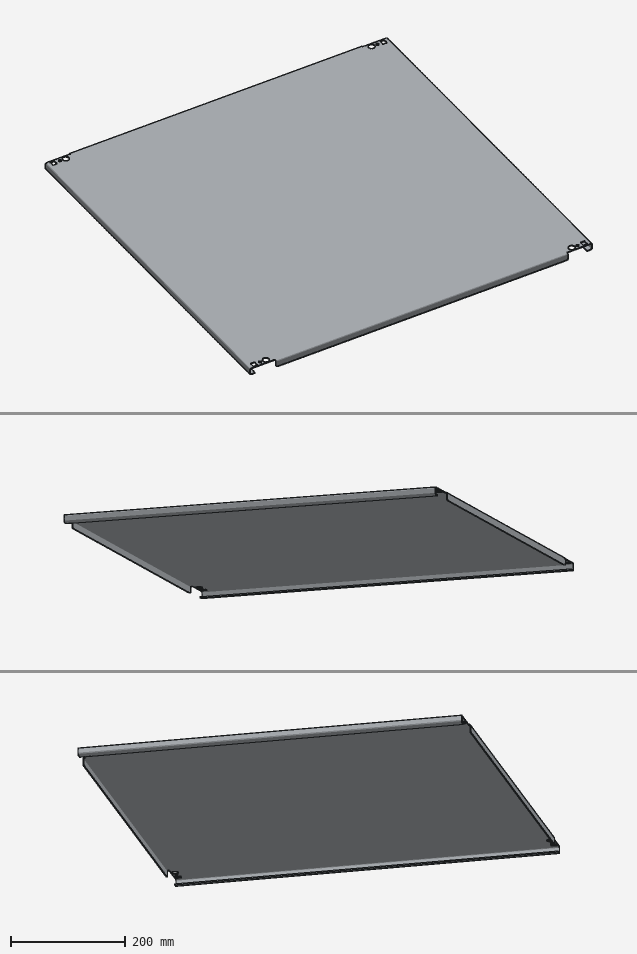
import cadquery as cq

PANEL_X = 699.0
PANEL_Y = 700.0
PANEL_Z = 15.0

SHEET = 2.0
BEND_RADIUS = 4.0
LIP_DEPTH = 11.0
SIDE_FLANGE_LENGTH = 596.5
FLANGE_CORNER_RADIUS = 3.5

HOLE_X = 338.0
ROUND_HOLE_Y = 312.0
ROUND_HOLE_DIAMETER = 12.5
SMALL_HOLE_Y = 324.0
SMALL_HOLE_DIAMETER = 5.5
WINDOW_Y = 337.0
WINDOW_X_SIZE = 10.0
WINDOW_Y_SIZE = 8.5

SHEET_X = PANEL_X - 2 * BEND_RADIUS
CUT_DEPTH = 2 * SHEET


def centred_bar(plane, width, bottom, top, length):
    """Rectangular bar extruded equally to both sides of the given plane."""
    return (
        cq.Workplane(plane)
        .center(0, (bottom + top) / 2)
        .rect(width, top - bottom)
        .extrude(length / 2, both=True)
    )


def make_end_folds():
    """Top sheet with rounded C-shaped folds along both Y ends."""
    outer = centred_bar("YZ", PANEL_Y, 0, PANEL_Z, SHEET_X)
    outer = outer.edges("|X").fillet(BEND_RADIUS)
    inner = centred_bar("YZ", PANEL_Y - 2 * SHEET, SHEET, PANEL_Z - SHEET, SHEET_X)
    inner = inner.edges("|X").fillet(BEND_RADIUS - SHEET)
    lip_gap = centred_bar("YZ", PANEL_Y - 2 * LIP_DEPTH, 0, CUT_DEPTH, SHEET_X)
    return outer.cut(inner).cut(lip_gap)


def make_side_flanges():
    """Sheet bent down into plain flanges with rounded lower corners on both X sides."""
    length = SIDE_FLANGE_LENGTH
    outer = centred_bar("XZ", PANEL_X, 0, PANEL_Z, length)
    outer = outer.edges("|Y and >Z").fillet(BEND_RADIUS)
    inner = centred_bar("XZ", PANEL_X - 2 * SHEET, 0, PANEL_Z - SHEET, length)
    inner = inner.edges("|Y and >Z").fillet(BEND_RADIUS - SHEET)
    outer = outer.edges("|X and <Z").fillet(FLANGE_CORNER_RADIUS)
    return outer.cut(inner)


def at_corners(y):
    """Workplane below the top sheet with one point in each corner."""
    points = [(side * HOLE_X, end * y) for side in (-1, 1) for end in (-1, 1)]
    return cq.Workplane("XY").workplane(offset=PANEL_Z - CUT_DEPTH).pushPoints(points)


round_holes = at_corners(ROUND_HOLE_Y).circle(ROUND_HOLE_DIAMETER / 2).extrude(CUT_DEPTH)
small_holes = at_corners(SMALL_HOLE_Y).circle(SMALL_HOLE_DIAMETER / 2).extrude(CUT_DEPTH)
windows = at_corners(WINDOW_Y).rect(WINDOW_X_SIZE, WINDOW_Y_SIZE).extrude(CUT_DEPTH)

panel = make_end_folds().union(make_side_flanges())
result = panel.cut(round_holes).cut(small_holes).cut(windows)